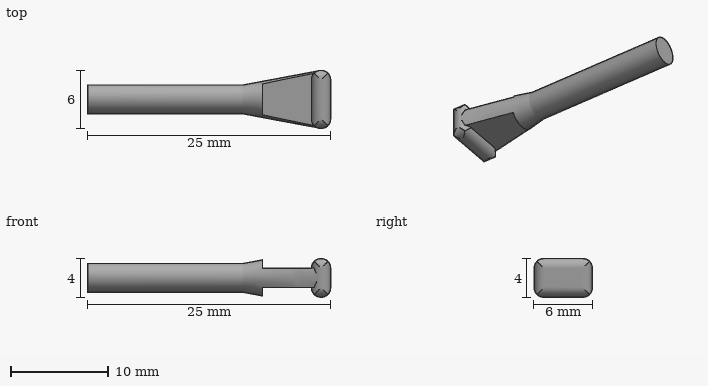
import cadquery as cq

total_length = 25.0
head_width = 6.0
head_height = 4.0
head_thickness = 2.0
head_radius = head_thickness / 2

shank_radius = 1.5
shank_length = 16.0
head_center_x = total_length - head_radius
neck_end_radius = head_width / 2
flat_start_x = 18.0
web_thickness = 2.0


def shank_and_neck():
    """Turned shank and cone about the X axis."""
    return (
        cq.Workplane("XY")
        .polyline([
            (0, 0),
            (0, shank_radius),
            (shank_length, shank_radius),
            (head_center_x, neck_end_radius),
            (head_center_x, 0),
        ])
        .close()
        .revolve(360, (0, 0, 0), (1, 0, 0))
    )


def flat_cutter(side):
    """Block that removes the cone beyond the web on one side (+1 or -1)."""
    length = total_length - flat_start_x
    center_x = flat_start_x + length / 2
    center_z = side * (web_thickness + head_width) / 2
    return cq.Workplane("XY").box(length, head_width, head_width).translate((center_x, 0, center_z))


def head():
    """Cross head: the common volume of three blocks rounded about Z, Y and X."""
    plan = (
        cq.Workplane("XY")
        .center(head_center_x, 0)
        .slot2D(head_width, head_thickness, 90)
        .extrude(head_height / 2, both=True)
    )
    elevation = (
        cq.Workplane("XZ")
        .center(head_center_x, 0)
        .slot2D(head_height, head_thickness, 90)
        .extrude(head_width / 2, both=True)
    )
    end_outline = (
        cq.Workplane("YZ")
        .workplane(offset=total_length - head_thickness)
        .rect(head_width, head_height)
        .extrude(head_thickness)
        .edges("|X")
        .fillet(head_radius)
    )
    return plan.intersect(elevation).intersect(end_outline)


body = shank_and_neck()
for side in (1, -1):
    body = body.cut(flat_cutter(side))
result = body.union(head())